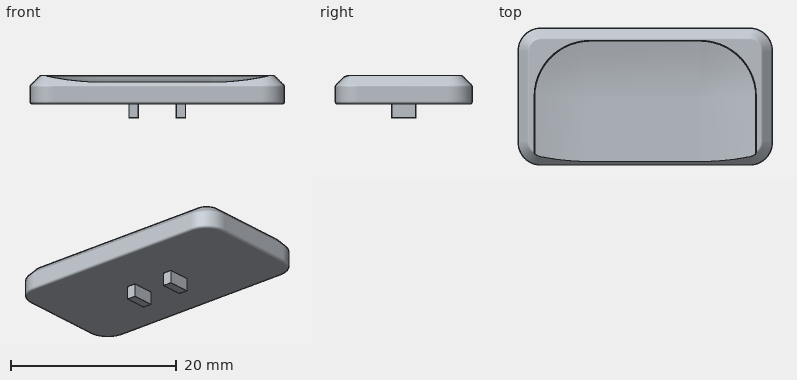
import cadquery as cq
import math

length = 30.7
width = 16.55
height = 3.47
corner_radius = 2.75
top_chamfer = 1.25
edge_radius = 0.3

foot_height = 1.65
foot_thickness = 1.17
foot_width = 2.95
foot_spacing = 5.7

dish_depth = 0.83
dish_radius = 6.8
dish_length = 26.85
floor_arc_radius = 30.7
rim_slope_width = 0.1
flat_half_length = dish_length / 2 - dish_radius
floor_z = height - dish_depth
clearance = 0.3


def make_body():
    plate = cq.Workplane("XY").box(length, width, height, centered=(True, True, False))
    plate = plate.edges("|Z").fillet(corner_radius)
    plate = plate.faces(">Z").edges().chamfer(top_chamfer)
    top_rim = plate.faces(">Z").edges().vals()
    side_rim = plate.edges(cq.selectors.BoxSelector(
        (-length, -width, height - 1.1 * top_chamfer),
        (length, width, height - 0.9 * top_chamfer),
    )).vals()
    bottom_rim = plate.faces("<Z").edges().vals()
    return plate.newObject(top_rim + side_rim + bottom_rim).fillet(edge_radius)


def dish_profile(plane):
    """Dish cross-section: its floor curves up from level to a small sloped wall at the rim."""
    def floor_height(distance):
        return floor_z + floor_arc_radius - math.sqrt(floor_arc_radius**2 - distance**2)

    wall_foot = dish_radius - rim_slope_width
    middle = wall_foot / 2
    cutter_top = height + clearance
    return (
        cq.Workplane(plane)
        .moveTo(0, floor_z)
        .threePointArc((middle, floor_height(middle)), (wall_foot, floor_height(wall_foot)))
        .lineTo(dish_radius, height)
        .lineTo(dish_radius, cutter_top)
        .lineTo(0, cutter_top)
        .close()
    )


def make_dish():
    front_reach = width / 2 + clearance
    dish = cq.Workplane("XY").box(
        2 * flat_half_length, front_reach, dish_depth + clearance, centered=(True, False, False)
    ).translate((0, -front_reach, floor_z))
    back = dish_profile("YZ").extrude(flat_half_length, both=True)
    dish = dish.union(back)
    corner = dish_profile("XZ").revolve(90, (0, 0, 0), (0, 1, 0))
    side = dish_profile("XZ").extrude(front_reach)
    for piece in (corner, side):
        right_piece = piece.translate((flat_half_length, 0, 0))
        dish = dish.union(right_piece).union(right_piece.mirror("YZ"))
    return dish


def make_feet():
    return (
        cq.Workplane("XY")
        .rarray(foot_spacing, 0.3, 2, 1)
        .rect(foot_thickness, foot_width)
        .extrude(-foot_height)
    )


result = make_body().cut(make_dish()).union(make_feet())